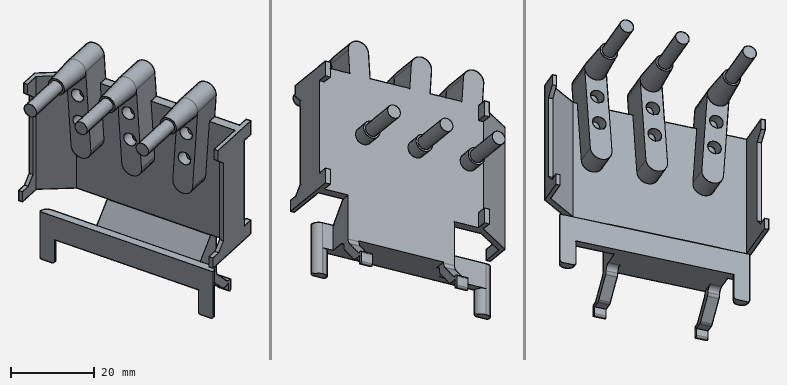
import cadquery as cq
import math

PLATE_HEIGHT = 32.9
PLATE_THICKNESS = 2.5
OVERALL_WIDTH = 55.0
RIGHT_END = OVERALL_WIDTH / 2
LEFT_END = -RIGHT_END
WALL_THICKNESS = 1.1
WALL_FRONT_Y = -14.4

SLANT_BACK_X = LEFT_END + 9.9
SLANT_FRONT_X = LEFT_END + 9.1
SLANT_OUTER_Y = -7.0
SLANT_INNER_Y = -8.1

WALL_RECESS_Y = -9.55
UPPER_EAR_Y = -12.1
UPPER_EAR_Z = 30.0
LOWER_EAR_Y = -11.75
LOWER_EAR_Z = 3.0
EAR_SLOPE_RISE = 2.2

TAB_WIDTH = 1.35
TAB_DEPTH = 3.0
TAB_HEIGHT = 4.0

LEVER_TOP_X = (-14.95, -0.6, 16.75)
LEVER_SHIFT_X = (1.45, 1.45, -1.45)
LEVER_TOP_Z = 39.35
LEVER_BOTTOM_Z = 16.9
LEVER_WIDTH = 5.6
LEVER_DEPTH = 8.5
WINDOW_DISTANCES = (7.5, 15.0)

WIRE_DIAMETER = 3.5
SLEEVE_END_DIAMETER = 4.5
SLEEVE_END_Y = -17.4
FRONT_TIP_Y = -29.3
BACK_COLLAR_DIAMETER = 4.5
BACK_COLLAR_LENGTH = 4.0
BACK_TIP_Y = 15.0

BRACKET_LEFT = LEFT_END + 17.8
BRACKET_RIGHT = LEFT_END + 47.1
BRACKET_SLOPE_TOP_Y = -2.65
HOOK_WIDTH = 3.0
HOOK_ROOT_OVERLAP = 1.0
HOOK_ROOT_FRONT_Y = -2.05
HOOK_ROOT_RADIUS = 1.5

ARM_TOP_Z = -12.75
ARM_DROP = 3.0
ARM_BACK_RADIUS = 2.1
ARM_FRONT_RADIUS = 1.2

SHELF_TOP_Z = -17.85
SHELF_THICKNESS = 1.0
SHELF_TOP_RADIUS = 0.6
SHELF_BOTTOM_RADIUS = 1.0
LIP_BACK_Y = 6.6
LIP_THICKNESS = 1.0
LIP_TIP_Z = -21.25
LIP_RADIUS = 0.49 * LIP_THICKNESS

BAR_LEFT = LEFT_END + 3.0
BAR_RIGHT = LEFT_END + 52.0
BAR_BACK_Y = -7.4
BAR_FRONT_Y = -9.55
BAR_TOP_Z = -4.9
BAR_BOTTOM_Z = -11.65
LEG_BOTTOM_Z = -18.65
LEG_WIDTH = 4.1
LEG_CORNER_RADIUS = 0.6
BAR_EDGE_RADIUS = 2.0


def box(x, y, z):
    """Box spanning the given (low, high) pairs."""
    size = (x[1] - x[0], y[1] - y[0], z[1] - z[0])
    return cq.Workplane("XY").box(*size, centered=False).translate((x[0], y[0], z[0]))


def rod(x, z, diameter, y_start, y_end):
    """Cylinder parallel to Y."""
    start = cq.Vector(x, y_start, z)
    direction = cq.Vector(0, 1, 0)
    return cq.Workplane(cq.Solid.makeCylinder(diameter / 2, y_end - y_start, start, direction))


def rounded_prism(corners, x, width):
    """Prism along X from (y, z, radius) corners; a radius of 0 leaves the corner sharp."""
    outline = None
    for index, (y, z, radius) in enumerate(corners):
        corner = cq.Vector(y, z)
        before = cq.Vector(*corners[index - 1][:2])
        after = cq.Vector(*corners[(index + 1) % len(corners)][:2])
        to_before = (before - corner).normalized()
        to_after = (after - corner).normalized()
        half_angle = to_before.getAngle(to_after) / 2
        tangent_length = radius / math.tan(half_angle)
        arc_start = corner + to_before * tangent_length
        if outline is None:
            outline = cq.Workplane("YZ", origin=(x, 0, 0)).moveTo(arc_start.x, arc_start.y)
        else:
            outline = outline.lineTo(arc_start.x, arc_start.y)
        if radius > 0:
            arc_end = corner + to_after * tangent_length
            bisector = (to_before + to_after).normalized()
            arc_middle = corner + bisector * (radius / math.sin(half_angle) - radius)
            outline = outline.threePointArc((arc_middle.x, arc_middle.y), (arc_end.x, arc_end.y))
    return outline.close().extrude(width)


def make_shell():
    """Plate with its two side walls, cut to the eared wall profile."""
    outline = [
        (SLANT_BACK_X, 0),
        (RIGHT_END, 0),
        (RIGHT_END, WALL_FRONT_Y),
        (RIGHT_END - WALL_THICKNESS, WALL_FRONT_Y),
        (RIGHT_END - WALL_THICKNESS, -PLATE_THICKNESS),
        (SLANT_FRONT_X, -PLATE_THICKNESS),
        (LEFT_END + WALL_THICKNESS, SLANT_INNER_Y),
        (LEFT_END + WALL_THICKNESS, WALL_FRONT_Y),
        (LEFT_END, WALL_FRONT_Y),
        (LEFT_END, SLANT_OUTER_Y),
    ]
    side_profile = [
        (0, 0),
        (WALL_FRONT_Y, 0),
        (WALL_FRONT_Y, LOWER_EAR_Z),
        (LOWER_EAR_Y, LOWER_EAR_Z),
        (WALL_RECESS_Y, LOWER_EAR_Z + EAR_SLOPE_RISE),
        (WALL_RECESS_Y, UPPER_EAR_Z - EAR_SLOPE_RISE),
        (UPPER_EAR_Y, UPPER_EAR_Z),
        (UPPER_EAR_Y, PLATE_HEIGHT),
        (0, PLATE_HEIGHT),
    ]
    shell = cq.Workplane("XY").polyline(outline).close().extrude(PLATE_HEIGHT)
    envelope = cq.Workplane("YZ", origin=(LEFT_END, 0, 0)).polyline(side_profile).close()
    return shell.intersect(envelope.extrude(OVERALL_WIDTH))


def make_tabs():
    """Four tabs standing back from the plate corners."""
    tabs = cq.Workplane("XY")
    for x in (SLANT_BACK_X, RIGHT_END - TAB_WIDTH):
        for z in (0, PLATE_HEIGHT - TAB_HEIGHT):
            tab = box((x, x + TAB_WIDTH), (-PLATE_THICKNESS / 2, TAB_DEPTH), (z, z + TAB_HEIGHT))
            tabs = tabs.add(tab)
    return tabs.combine()


def make_lever(top_x, shift_x):
    """Leaning lever with two windows that expose the conductor running inside it."""
    bottom_x = top_x + shift_x
    drop = LEVER_TOP_Z - LEVER_BOTTOM_Z
    length = math.hypot(shift_x, drop)
    lean = math.degrees(math.atan2(shift_x, drop))
    lever = (
        cq.Workplane("XZ", origin=((top_x + bottom_x) / 2, 0, (LEVER_TOP_Z + LEVER_BOTTOM_Z) / 2))
        .slot2D(length + LEVER_WIDTH, LEVER_WIDTH, 90 + lean)
        .extrude(LEVER_DEPTH)
    )
    mid_y = -LEVER_DEPTH / 2
    wire_start = cq.Vector(top_x, mid_y, LEVER_TOP_Z)
    wire_direction = cq.Vector(shift_x, 0, -drop)
    wire = cq.Workplane(cq.Solid.makeCylinder(WIRE_DIAMETER / 2, length, wire_start, wire_direction))
    for distance in WINDOW_DISTANCES:
        fraction = distance / length
        x = top_x + shift_x * fraction
        z = LEVER_TOP_Z - drop * fraction
        window = rod(x, z, WIRE_DIAMETER, -LEVER_DEPTH, mid_y)
        lever = lever.cut(window.cut(wire))
    return lever


def make_front_lead(x):
    """Tapered sleeve and conductor leaving the top of a lever."""
    sleeve = cq.Solid.makeCone(
        LEVER_WIDTH / 2,
        SLEEVE_END_DIAMETER / 2,
        -LEVER_DEPTH - SLEEVE_END_Y,
        cq.Vector(x, -LEVER_DEPTH, LEVER_TOP_Z),
        cq.Vector(0, -1, 0),
    )
    return rod(x, LEVER_TOP_Z, WIRE_DIAMETER, FRONT_TIP_Y, -LEVER_DEPTH).union(cq.Workplane(sleeve))


def make_back_lead(x):
    """Collar and conductor leaving the bottom of a lever behind the plate."""
    collar = rod(x, LEVER_BOTTOM_Z, BACK_COLLAR_DIAMETER, 0, BACK_COLLAR_LENGTH)
    return rod(x, LEVER_BOTTOM_Z, WIRE_DIAMETER, 0, BACK_TIP_Y).union(collar)


def make_hook(x):
    """Hook hanging from the block: rounded root, slanted arm, shelf and lip."""
    root_z = BAR_BOTTOM_Z + HOOK_ROOT_OVERLAP
    shelf_bottom_z = SHELF_TOP_Z - SHELF_THICKNESS
    arm_bottom_z = ARM_TOP_Z - ARM_DROP
    lip_front_y = LIP_BACK_Y - LIP_THICKNESS
    corners = [
        (0, root_z, 0),
        (0, ARM_TOP_Z, ARM_BACK_RADIUS),
        (ARM_TOP_Z - SHELF_TOP_Z, SHELF_TOP_Z, SHELF_TOP_RADIUS),
        (LIP_BACK_Y, SHELF_TOP_Z, LIP_RADIUS),
        (LIP_BACK_Y, LIP_TIP_Z, LIP_RADIUS),
        (lip_front_y, LIP_TIP_Z, LIP_RADIUS),
        (lip_front_y, shelf_bottom_z, 0),
        (arm_bottom_z - shelf_bottom_z, shelf_bottom_z, SHELF_BOTTOM_RADIUS),
        (HOOK_ROOT_FRONT_Y, arm_bottom_z - HOOK_ROOT_FRONT_Y, ARM_FRONT_RADIUS),
        (HOOK_ROOT_FRONT_Y, BAR_BOTTOM_Z, HOOK_ROOT_RADIUS),
        (BAR_BACK_Y, BAR_BOTTOM_Z, 0),
        (BAR_BACK_Y, root_z, 0),
    ]
    return rounded_prism(corners, x, HOOK_WIDTH)


def make_bracket():
    """Wedge-topped block below the plate with a hook under each end."""
    block_profile = [
        (0, 0),
        (BRACKET_SLOPE_TOP_Y, 0),
        (BAR_BACK_Y, BAR_TOP_Z),
        (BAR_BACK_Y, BAR_BOTTOM_Z),
        (0, BAR_BOTTOM_Z),
    ]
    block = cq.Workplane("YZ", origin=(BRACKET_LEFT, 0, 0)).polyline(block_profile).close()
    bracket = block.extrude(BRACKET_RIGHT - BRACKET_LEFT)
    for x in (BRACKET_LEFT, BRACKET_RIGHT - HOOK_WIDTH):
        bracket = bracket.union(make_hook(x))
    return bracket


def make_crossbar():
    """Bar with a leg at each end; the upright back edges of the legs are rounded."""
    depth = (BAR_FRONT_Y, BAR_BACK_Y)
    bar = box((BAR_LEFT, BAR_RIGHT), depth, (LEG_BOTTOM_Z, BAR_TOP_Z))
    gap = box((BAR_LEFT + LEG_WIDTH, BAR_RIGHT - LEG_WIDTH), depth, (LEG_BOTTOM_Z, BAR_BOTTOM_Z))
    bar = bar.cut(gap)
    with_round_corners = bar.faces("<Z").edges("|Y").fillet(LEG_CORNER_RADIUS)
    with_round_edges = bar.faces(">Y").edges("|Z").fillet(BAR_EDGE_RADIUS)
    return with_round_corners.intersect(with_round_edges)


result = make_shell().union(make_tabs()).union(make_bracket()).union(make_crossbar())
for top_x, shift_x in zip(LEVER_TOP_X, LEVER_SHIFT_X):
    result = result.union(make_lever(top_x, shift_x))
    result = result.union(make_front_lead(top_x))
    result = result.union(make_back_lead(top_x + shift_x))